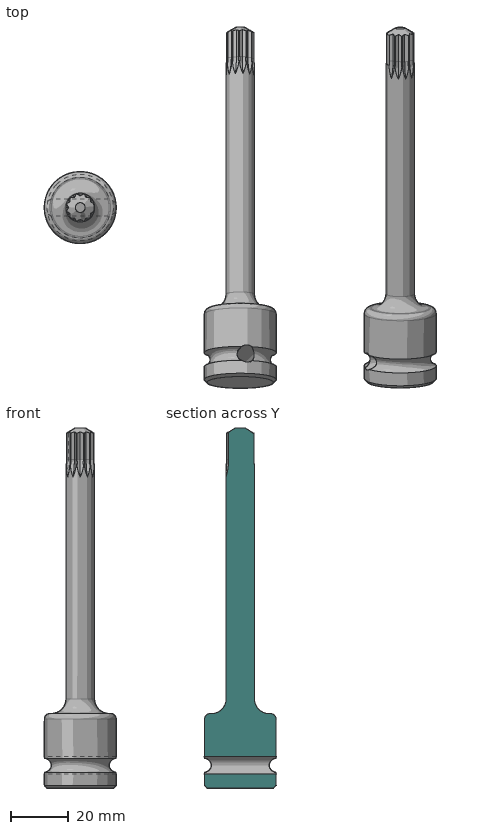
import cadquery as cq
import math

total_length = 125.0

body_radius = 12.5
body_top = 26.0
body_top_round = 2.0
bottom_chamfer = 1.0

groove_height = 8.0
groove_radius = 2.5
groove_depth = 2.0
groove_half_height = math.sqrt(groove_radius**2 - (groove_radius - groove_depth) ** 2)
cross_hole_diameter = 6.0

shaft_radius = 5.0
neck_fillet = 5.0

tooth_count = 12
tooth_pitch = 360.0 / tooth_count
square_corner_radius = 5.0
tip_radius = 4.82
tip_length = 12.5
tip_cone_height = 1.9
tip_flat_radius = 1.7

square_side_distance = square_corner_radius * math.cos(math.radians(45))
gap_floor_radius = square_side_distance / math.cos(math.radians(tooth_pitch))
gap_half_angle = 90.0 - tooth_pitch
gap_straight_length = 11.0
gap_runout_length = 6.0
gap_rise = shaft_radius - gap_floor_radius
gap_runout_radius = (gap_runout_length**2 + gap_rise**2) / (2 * gap_rise)
gap_cutter_depth = 1.6


def make_turned_blank():
    """Body, groove, neck, shaft and tip as one turned profile about Z."""
    tip_start = total_length - tip_length
    profile = (
        cq.Workplane("XZ")
        .moveTo(0, 0)
        .lineTo(body_radius - bottom_chamfer, 0)
        .lineTo(body_radius, bottom_chamfer)
        .lineTo(body_radius, groove_height - groove_half_height)
        .threePointArc(
            (body_radius - groove_depth, groove_height),
            (body_radius, groove_height + groove_half_height),
        )
        .lineTo(body_radius, body_top - body_top_round)
        .radiusArc((body_radius - body_top_round, body_top), -body_top_round)
        .lineTo(shaft_radius + neck_fillet, body_top)
        .radiusArc((shaft_radius, body_top + neck_fillet), neck_fillet)
        .lineTo(shaft_radius, tip_start)
        .lineTo(tip_radius, tip_start)
        .lineTo(tip_radius, total_length - tip_cone_height)
        .lineTo(tip_flat_radius, total_length)
        .lineTo(0, total_length)
        .close()
    )
    return profile.revolve(360, (0, 0, 0), (0, 1, 0))


def make_gap_cutter():
    """V-shaped cutter on the +X side, straight along the tip and then curving outwards."""
    runout_start = total_length - gap_straight_length
    runout_angle = math.acos(1 - (gap_rise + gap_cutter_depth) / gap_runout_radius)

    def runout_point(angle):
        return (
            gap_floor_radius + gap_runout_radius * (1 - math.cos(angle)),
            runout_start - gap_runout_radius * math.sin(angle),
        )

    path = (
        cq.Workplane("XZ")
        .moveTo(gap_floor_radius, total_length)
        .lineTo(gap_floor_radius, runout_start)
        .threePointArc(runout_point(runout_angle / 2), runout_point(runout_angle))
    )
    half_width = gap_cutter_depth * math.tan(math.radians(gap_half_angle))
    outer = gap_floor_radius + gap_cutter_depth
    section = (
        cq.Workplane("XY", origin=(0, 0, total_length))
        .polyline([(gap_floor_radius, 0), (outer, half_width), (outer, -half_width)])
        .close()
    )
    return section.sweep(path)


def cut_tooth_gaps(part):
    """Cut one gap between every two neighbouring teeth."""
    cutter = make_gap_cutter()
    for index in range(tooth_count):
        part = part.cut(cutter.rotate((0, 0, 0), (0, 0, 1), index * tooth_pitch))
    return part


def cut_cross_hole(part):
    """Round hole along X, right through the body at the groove."""
    hole = (
        cq.Workplane("YZ", origin=(-body_radius, 0, groove_height))
        .circle(cross_hole_diameter / 2)
        .extrude(2 * body_radius)
    )
    return part.cut(hole)


result = make_turned_blank()
result = cut_tooth_gaps(result)
result = cut_cross_hole(result)